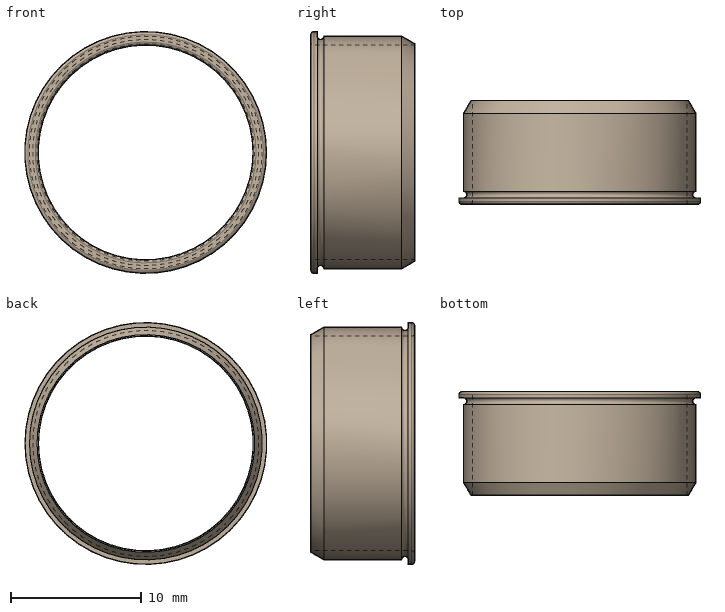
import cadquery as cq
import math

flange_radius = 18.6 / 2
sleeve_radius = 17.9 / 2
bore_radius = 16.5 / 2
length = 8.0
flange_thickness = 0.5
groove_width = 0.5
edge_round = 0.25
taper_length = 1.0
taper_angle = 30.0

groove_radius = groove_width / 2
groove_center = flange_thickness + groove_radius
groove_end = flange_thickness + groove_width
taper_start = length - taper_length
tip_radius = sleeve_radius - taper_length * math.tan(math.radians(taper_angle))


def rounding_offset(radius):
    """Distance from a quarter round's end tangents to its midpoint."""
    return radius * (1 - math.sqrt(0.5))


def wall_section():
    """Half section of the ring wall, with X as radius and Y as axial position."""
    inset = rounding_offset(edge_round)
    return (
        cq.Workplane("XY")
        .moveTo(bore_radius + edge_round, 0)
        .lineTo(flange_radius - edge_round, 0)
        .threePointArc((flange_radius - inset, inset), (flange_radius, edge_round))
        .lineTo(flange_radius, flange_thickness)
        .lineTo(sleeve_radius, flange_thickness)
        .threePointArc((sleeve_radius - groove_radius, groove_center), (sleeve_radius, groove_end))
        .lineTo(sleeve_radius, taper_start)
        .lineTo(tip_radius, length)
        .lineTo(bore_radius, length)
        .lineTo(bore_radius, edge_round)
        .threePointArc((bore_radius + inset, inset), (bore_radius + edge_round, 0))
        .close()
    )


ring = wall_section().revolve(360, (0, 0, 0), (0, 1, 0))
result = ring.translate((0, -length / 2, 0))